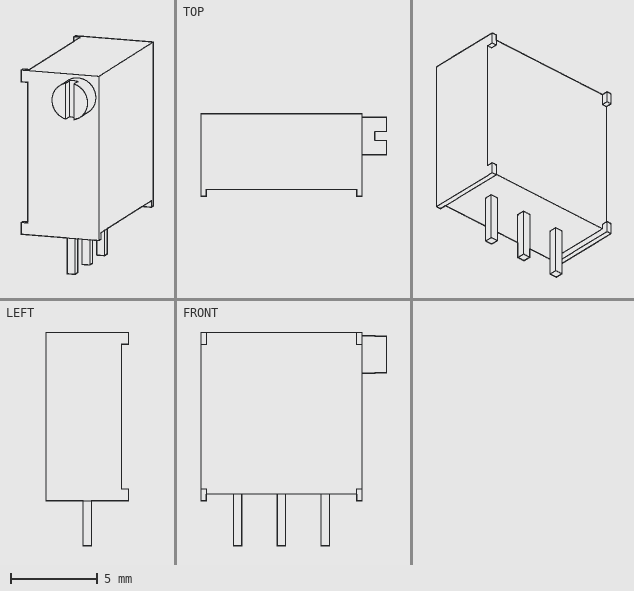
import cadquery as cq

total_length = 10.8
total_depth = 4.8
total_height = 12.4

housing_length = 9.37
pin_length = 3.0
rail_drop = 0.4
front_standoff = 0.4
standoff_width = 0.32
standoff_height = 0.71

pin_count = 3
pin_size = 0.5
pin_pitch = 2.54

screw_diameter = 2.2
screw_below_top = 1.29
screw_from_back = 1.29
slot_width = 0.51
slot_depth = 0.7

housing_depth = total_depth - front_standoff
housing_bottom = pin_length
rail_bottom = housing_bottom - rail_drop
screw_length = total_length - housing_length
screw_y = total_depth - screw_from_back
screw_z = total_height - screw_below_top
end_positions = (0, housing_length - standoff_width)


def block(size, corner):
    """Box of the given size with its lowest corner at the given point."""
    return cq.Workplane("XY").box(*size, centered=False).translate(corner)


def make_housing():
    """Box with a bottom rail and two front stand-offs at each end."""
    housing = block(
        (housing_length, housing_depth, total_height - housing_bottom),
        (0, front_standoff, housing_bottom),
    )
    for x in end_positions:
        rail = block((standoff_width, total_depth, rail_drop), (x, 0, rail_bottom))
        housing = housing.union(rail)
        for z in (rail_bottom, total_height - standoff_height):
            standoff = block(
                (standoff_width, 2 * front_standoff, standoff_height), (x, 0, z)
            )
            housing = housing.union(standoff)
    return housing


def make_pin(index):
    """Square pin below the housing, in a row centred on its length."""
    center_x = housing_length / 2 + (index - (pin_count - 1) / 2) * pin_pitch
    corner = (center_x - pin_size / 2, (total_depth - pin_size) / 2, 0)
    return block((pin_size, pin_size, pin_length), corner)


def make_screw():
    """Round screw head on the +X side with a vertical driver slot."""
    head = (
        cq.Workplane("YZ", origin=(housing_length, screw_y, screw_z))
        .circle(screw_diameter / 2)
        .extrude(screw_length)
    )
    slot = block(
        (slot_depth, slot_width, screw_diameter),
        (total_length - slot_depth, screw_y - slot_width / 2, screw_z - screw_diameter / 2),
    )
    return head.cut(slot)


result = make_housing().union(make_screw())
for pin_index in range(pin_count):
    result = result.union(make_pin(pin_index))